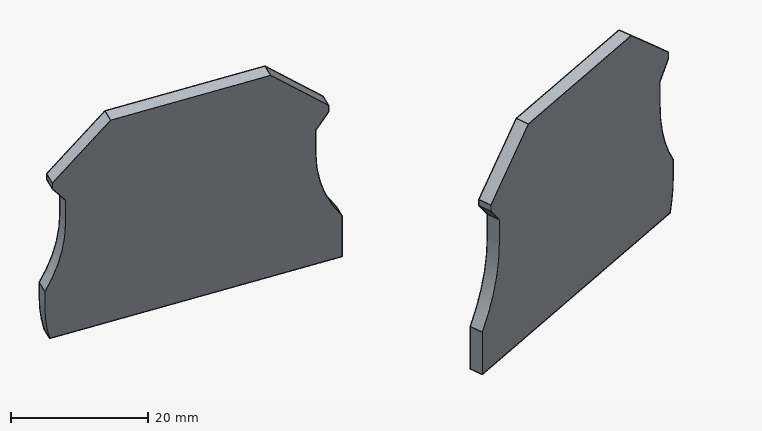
import cadquery as cq
import math

thickness = 2.2
height = 39.8
length = 47.0

top_half_width = 12.65
shoulder_half_width = 21.85
shoulder_top = height - (shoulder_half_width - top_half_width)
shoulder_bottom = 29.4
waist_half_width = 19.8
waist_top = 26.45
waist_bottom = 21.85

foot_back = 23.95
foot_front = foot_back - length
flank_radius = 25.0

toe_top = 6.5
toe_radius = 28.2


def arc_rise(radius, offset):
    """Height over which an arc leaves its vertical tangent by the given offset."""
    return math.sqrt(2 * radius * offset - offset**2)


def arc_offset(radius, rise):
    """Sideways departure of an arc from its vertical tangent over the given height."""
    return radius - math.sqrt(radius**2 - rise**2)


def flank_points(foot_reach):
    """Middle and lower end of a concave flank, as distance from the centre and height."""
    drop = arc_rise(flank_radius, foot_reach - waist_half_width)
    mid_drop = drop / 2
    middle = (waist_half_width + arc_offset(flank_radius, mid_drop), waist_bottom - mid_drop)
    return middle, (foot_reach, waist_bottom - drop)


back_middle, back_end = flank_points(foot_back)
front_middle, front_end = flank_points(-foot_front)
toe_middle = (foot_front + arc_offset(toe_radius, toe_top / 2), toe_top / 2)
toe_end = (foot_front + arc_offset(toe_radius, toe_top), 0)

result = (
    cq.Workplane("YZ")
    .moveTo(foot_back, 0)
    .lineTo(*back_end)
    .threePointArc(back_middle, (waist_half_width, waist_bottom))
    .lineTo(waist_half_width, waist_top)
    .lineTo(shoulder_half_width, shoulder_bottom)
    .lineTo(shoulder_half_width, shoulder_top)
    .lineTo(top_half_width, height)
    .lineTo(-top_half_width, height)
    .lineTo(-shoulder_half_width, shoulder_top)
    .lineTo(-shoulder_half_width, shoulder_bottom)
    .lineTo(-waist_half_width, waist_top)
    .lineTo(-waist_half_width, waist_bottom)
    .threePointArc((-front_middle[0], front_middle[1]), (-front_end[0], front_end[1]))
    .lineTo(foot_front, toe_top)
    .threePointArc(toe_middle, toe_end)
    .close()
    .extrude(thickness)
)